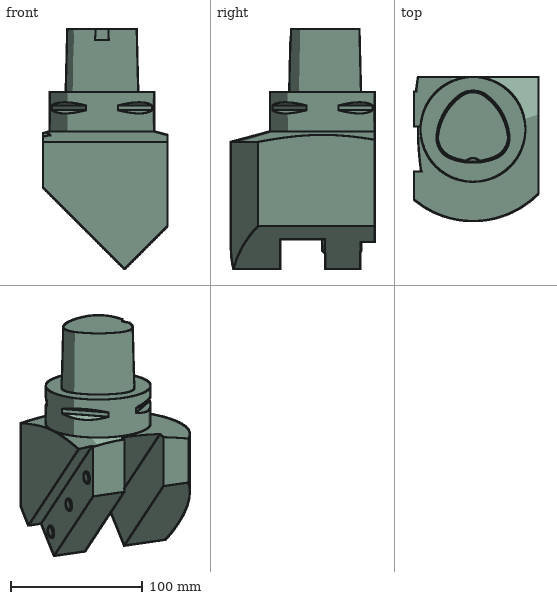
import cadquery as cq
import math


shank_height = 48.0
shank_taper = math.degrees(math.atan(1 / 40))
lobe_reach = 29.5
side_reach = 25.5
lobe_radius = 17.0
lobe_count = 3

notch_radius = 7.0
notch_depth = 8.4
notch_crest_y = -21.9

collar_diameter = 80.0
collar_height = 30.0
grip_z = -12.1
grip_depth = 4.5
grip_floor_width = 3.4
grip_flank_angle = 30.0
grip_count = 4

body_radius = 70.0
body_cone_angle = 15.0
body_left = -45.0
body_right = 50.0
body_back = collar_diameter / 2
tip_x = 17.2
tip_z = -135.0

slot_front_y = -32.0
wall_front_y = 2.0
wall_back_y = 29.0
slot_depth = 32.0
rear_recess_depth = 29.0

pin_diameter = 12.0
pin_length = 30.0
pin_front_y = -0.2
pin_end_chamfer = 2.0
pin_count = 3
pin_spacing = 40.0
pin_depth = slot_depth / 2
first_pin_x = -34.8


def polar(radius, degrees):
    """Point at a radius and an angle about the spindle axis."""
    angle = math.radians(degrees)
    return cq.Vector(radius * math.cos(angle), radius * math.sin(angle))


def shank_outline():
    """Three lobe arcs joined by three tangent side arcs."""
    lobe_step = 360 / lobe_count
    lobe_center = lobe_reach - lobe_radius
    gap = side_reach - lobe_radius
    side_center = (lobe_center**2 - gap**2) / (2 * gap - lobe_center)
    half_span = math.degrees(math.atan2(
        lobe_center * math.sin(math.radians(lobe_step / 2)),
        side_center + lobe_center * math.cos(math.radians(lobe_step / 2)),
    ))
    side_radius = side_center + side_reach

    outline = cq.Workplane("XY")
    for index in range(lobe_count):
        side_angle = -90 + index * lobe_step
        center = polar(-side_center, side_angle)
        side_start = center + polar(side_radius, side_angle - half_span)
        side_end = center + polar(side_radius, side_angle + half_span)
        next_center = polar(-side_center, side_angle + lobe_step)
        lobe_end = next_center + polar(side_radius, side_angle + lobe_step - half_span)
        if index == 0:
            outline = outline.moveTo(side_start.x, side_start.y)
        side_middle = polar(side_reach, side_angle)
        outline = outline.threePointArc(side_middle, side_end)
        lobe_crest = polar(lobe_reach, side_angle + lobe_step / 2)
        outline = outline.threePointArc(lobe_crest, lobe_end)
    return outline.close()


def make_shank():
    shank = shank_outline().extrude(shank_height, taper=shank_taper)
    notch = (
        cq.Workplane("XY", origin=(0, notch_crest_y - notch_radius, shank_height - notch_depth))
        .circle(notch_radius)
        .extrude(notch_depth)
    )
    return shank.cut(notch)


def make_collar():
    """Plain cylinder with flat-bottomed V slots across it at the four diagonals."""
    radius = collar_diameter / 2
    collar = cq.Workplane("XY").circle(radius).extrude(-collar_height)
    floor_half = grip_floor_width / 2
    mouth_half = floor_half + grip_depth * math.tan(math.radians(grip_flank_angle))
    slot = (
        cq.Workplane("XZ", origin=(radius, 0, grip_z))
        .polyline([
            (-grip_depth, -floor_half),
            (0, -mouth_half),
            (0, mouth_half),
            (-grip_depth, floor_half),
        ])
        .close()
        .extrude(radius, both=True)
    )
    step = 360 / grip_count
    for index in range(grip_count):
        collar = collar.cut(slot.rotate((0, 0, 0), (0, 0, 1), (index + 0.5) * step))
    return collar


def make_body():
    """Cone-topped cylinder trimmed to the pointed outline and the flat back."""
    neck_radius = collar_diameter / 2
    cone_drop = (body_radius - neck_radius) * math.tan(math.radians(body_cone_angle))
    round_body = (
        cq.Workplane("XZ")
        .polyline([
            (0, -collar_height),
            (neck_radius, -collar_height),
            (body_radius, -collar_height - cone_drop),
            (body_radius, tip_z),
            (0, tip_z),
        ])
        .close()
        .revolve(360, (0, 0, 0), (0, 1, 0))
        .rotate((0, 0, 0), (0, 0, 1), 180)
    )
    pointed_outline = (
        cq.Workplane("XZ", origin=(0, body_back, 0))
        .polyline([
            (body_left, 0),
            (body_left, tip_z + tip_x - body_left),
            (tip_x, tip_z),
            (body_right, tip_z + body_right - tip_x),
            (body_right, 0),
        ])
        .close()
        .extrude(body_back + body_radius)
    )
    return round_body.intersect(pointed_outline)


def face_recess(depth, front_y, back_y):
    """Cutter whose floor lies the given depth inside the long 45 degree face."""
    rise = depth * math.sqrt(2)
    reach = body_right - tip_z
    return (
        cq.Workplane("XZ", origin=(0, back_y, 0))
        .polyline([
            (tip_x - reach, tip_z + reach + rise),
            (tip_x - reach, tip_z - reach),
            (tip_x + reach, tip_z - reach),
            (tip_x + reach, tip_z - reach + rise),
        ])
        .close()
        .extrude(back_y - front_y)
    )


def make_pins():
    step = pin_spacing / math.sqrt(2)
    first_pin_z = tip_z + tip_x - first_pin_x + pin_depth * math.sqrt(2)
    centers = [(first_pin_x + i * step, first_pin_z - i * step) for i in range(pin_count)]
    return (
        cq.Workplane("XZ", origin=(0, pin_front_y + pin_length, 0))
        .pushPoints(centers)
        .circle(pin_diameter / 2)
        .extrude(pin_length)
        .edges("%CIRCLE")
        .chamfer(pin_end_chamfer)
    )


body = make_body()
body = body.cut(face_recess(slot_depth, slot_front_y, wall_front_y))
body = body.cut(face_recess(rear_recess_depth, wall_back_y, body_back))

result = body.union(make_pins()).union(make_collar()).union(make_shank())